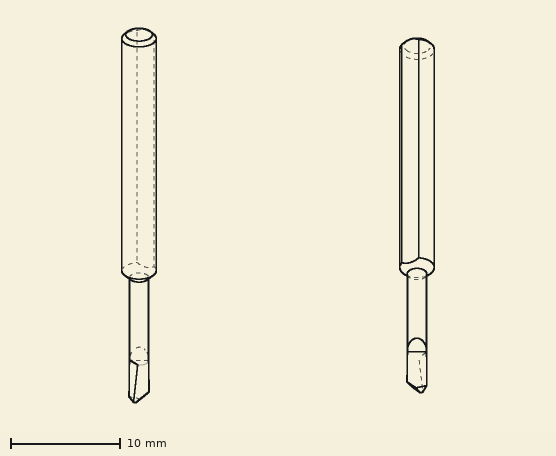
import cadquery as cq
import math


overall_length = 38.1
shank_radius = 3.175 / 2
flat_distance = 1.3325
top_chamfer_width = 0.37
top_chamfer_height = 0.4

neck_radius = 0.89
neck_top = 12.7
shoulder_height = shank_radius - neck_radius
neck_bottom = 4.04

tip_end_radius = 1.0
rake_angle_top = 26.0
rake_angle_end = 3.0
flank_span = 82.0
section_count = 4

end_relief_angle = 3.0
corner_start_x = 0.05

cutter_size = 6.0


def polar(radius, angle):
    """Point at the given radius and angle in degrees."""
    return (radius * math.cos(math.radians(angle)), radius * math.sin(math.radians(angle)))


def make_body():
    """Shank, shoulder cone and neck as one revolved profile."""
    profile = [
        (0, neck_bottom),
        (neck_radius, neck_bottom),
        (neck_radius, neck_top),
        (shank_radius, neck_top + shoulder_height),
        (shank_radius, overall_length - top_chamfer_height),
        (shank_radius - top_chamfer_width, overall_length),
        (0, overall_length),
    ]
    return cq.Workplane("XZ").polyline(profile).close().revolve(360, (0, 0), (0, 1))


def clamping_flat():
    """Material beyond the flat, over the shank and its shoulder."""
    depth = shank_radius
    return (
        cq.Workplane("XY", origin=(0, flat_distance + depth / 2, neck_top))
        .box(cutter_size, depth, overall_length - neck_top, centered=(True, True, False))
    )


def runout_cut(face_distance, normal_angle):
    """Wedge that ends a ground face of the tip with a 45 degree ramp up through the neck."""
    ramp = [(0, 0), (cutter_size, 0), (cutter_size, cutter_size)]
    return (
        cq.Workplane("XZ")
        .polyline(ramp).close()
        .extrude(cutter_size / 2, both=True)
        .translate((face_distance, 0, neck_bottom))
        .rotate((0, 0, 0), (0, 0, 1), normal_angle)
    )


def tip_section(fraction):
    """Tip outline at a fraction of the way from the end (0) up to the neck (1)."""
    radius = tip_end_radius + fraction * (neck_radius - tip_end_radius)
    rake_angle = rake_angle_end + fraction * (rake_angle_top - rake_angle_end)
    edge_angle = rake_angle + 180
    heel_angle = edge_angle + flank_span
    back_angle = rake_angle + 360
    return (
        cq.Workplane("XY", origin=(0, 0, fraction * neck_bottom))
        .moveTo(*polar(radius, edge_angle))
        .lineTo(*polar(radius, heel_angle))
        .threePointArc(polar(radius, (heel_angle + back_angle) / 2), polar(radius, back_angle))
        .close()
        .val()
    )


def make_tip():
    """Twisted tip lofted through evenly spaced sections."""
    sections = [tip_section(i / (section_count - 1)) for i in range(section_count)]
    return cq.Workplane(cq.Solid.makeLoft(sections))


def end_face_cut():
    """Block below the end face, tilted about the tip corner."""
    return (
        cq.Workplane("XY")
        .box(cutter_size, cutter_size, cutter_size)
        .translate((0, 0, -cutter_size / 2))
        .rotate((0, 0, 0), (0, 1, 0), -end_relief_angle)
        .rotate((0, 0, 0), (1, 0, 0), -end_relief_angle)
        .translate((-tip_end_radius, 0, 0))
    )


def corner_cut():
    """45 degree wedge removed from the +X corner of the end."""
    wedge = [
        (corner_start_x - cutter_size, -cutter_size),
        (corner_start_x + cutter_size, -cutter_size),
        (corner_start_x + cutter_size, cutter_size),
    ]
    return cq.Workplane("XZ").polyline(wedge).close().extrude(cutter_size / 2, both=True)


rake_distance = 0
flank_distance = neck_radius * math.cos(math.radians(flank_span / 2))
rake_normal = rake_angle_top + 90
flank_normal = rake_angle_top + 180 + flank_span / 2

body = make_body().cut(clamping_flat())
body = body.cut(runout_cut(rake_distance, rake_normal))
body = body.cut(runout_cut(flank_distance, flank_normal))
tip = make_tip().cut(end_face_cut()).cut(corner_cut())

result = body.union(tip)